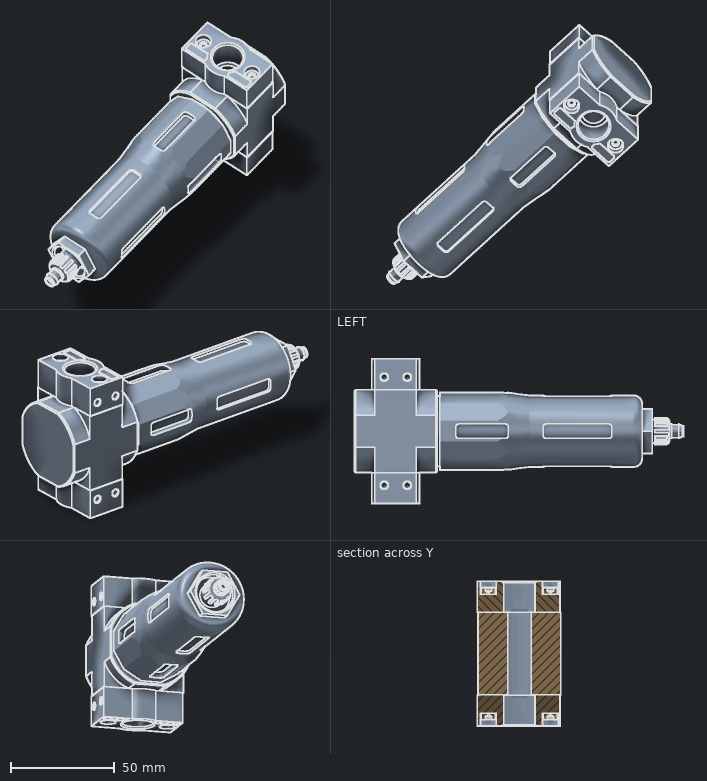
import cadquery as cq
import math

total_length = 159.0

housing_width = 40.0
housing_length = 40.0
drum_diameter = 43.0
drum_chamfer = 0.6
block_length = 20.0
through_port_diameter = 11.1

plate_thickness = 15.0
plate_shift = -0.3
plate_boss_diameter = 23.2
port_diameter = 15.0
port_chamfer = 0.8
screw_spacing = 29.9
screw_seat_diameter = 7.5
screw_head_diameter = 7.0
screw_head_height = 3.2
screw_head_chamfer = 0.3
screw_head_sink = 3.0
socket_diameter = 3.5
side_hole_spacing = 11.1
side_hole_height = 6.0
side_hole_diameter = 4.0
side_hole_depth = 4.0
blind_hole_chamfer = 0.3
drill_point_angle = 118.0

label_left = -19.1
label_top = -4.5
label_bottom = -8.9
label_arc_radius = 9.9
label_corner_radius = 0.8
label_depth = 0.3

neck_radius = 17.0
grip_start = -21.3
grip_radius = 19.4
grip_end = -49.1
facet_count = 12
facet_distance = 18.8
sleeve_start = -64.5
sleeve_radius = 17.3
sleeve_end = -119.0
sleeve_fillet = 4.3
slot_width = 7.0
slot_corner_radius = 1.6
slot_spans = [(-29.0, -54.4), (-71.0, -104.3)]
slot_count = 4

hex_end = -123.9
hex_across_flats = 21.6
recess_radius = 9.2
recess_chamfer = 0.8
recess_depth = 6.4

bowl_radius = 15.9
bowl_end = -114.5

knob_base_radius = 5.7
knob_radius = 6.5
knob_start = -125.0
knob_end = -132.1
knob_rounding = 2.2
ridge_count = 12
ridge_width = 1.3
collar_radius = 3.5
collar_end = -133.1
stem_radius = 3.2
lip_start = -136.5
lip_radius = 3.5
tip_start = -138.2
tip_radius = 2.7
drain_bore_diameter = 3.0
drain_bore_depth = 3.2
drain_mouth_diameter = 4.0
drain_mouth_depth = 1.6

housing_top = housing_length / 2
housing_bottom = -housing_top
plate_inner_z = housing_width / 2
plate_outer_z = plate_inner_z + plate_thickness
tip_end = housing_top - total_length
recess_floor = hex_end + recess_depth


def section_at(y):
    """Workplane across the bowl axis; extruding goes toward -Y."""
    return cq.Workplane("XZ", origin=(0, y, 0))


def cylinder_along_y(diameter, y_start, y_end):
    return section_at(y_start).circle(diameter / 2).extrude(y_start - y_end)


def turned(profile):
    """Revolve a closed radius-height profile about the Y axis."""
    return profile.close().revolve(360, (0, 0), (0, 1))


def blind_hole(diameter, depth):
    """Cutter for a chamfered, drill-pointed hole going down from the origin along -Z."""
    radius = diameter / 2
    inner_radius = radius - blind_hole_chamfer
    point_depth = inner_radius / math.tan(math.radians(drill_point_angle / 2))
    return (
        cq.Workplane("XZ")
        .moveTo(0, 0)
        .lineTo(radius, 0)
        .lineTo(inner_radius, -blind_hole_chamfer)
        .lineTo(inner_radius, -depth)
        .lineTo(0, -depth - point_depth)
        .close()
        .revolve(360, (0, 0), (0, 1))
    )


def make_housing():
    drum = cylinder_along_y(drum_diameter, housing_top, housing_bottom)
    flats = section_at(housing_top).rect(housing_width, housing_width).extrude(housing_length)
    drum = drum.intersect(flats).faces("<Y or >Y").chamfer(drum_chamfer)
    block = cq.Workplane("XY").box(housing_width, block_length, housing_width)
    port = cq.Workplane("XY").circle(through_port_diameter / 2).extrude(housing_width, both=True)
    return drum.union(block).cut(port)


def label_field(side):
    """Cutter for one label field; side -1 is at -X and side 1 at +X."""
    def arc_point(y):
        return -math.sqrt(label_arc_radius**2 - y**2), y

    arc_end_y = label_bottom + (label_top - label_bottom) / 2
    field = (
        cq.Workplane("XY", origin=(0, 0, plate_outer_z - label_depth))
        .moveTo(label_left, label_top)
        .lineTo(*arc_point(label_top))
        .threePointArc(arc_point((label_top + arc_end_y) / 2), arc_point(arc_end_y))
        .lineTo(arc_point(arc_end_y)[0], label_bottom)
        .lineTo(label_left, label_bottom)
        .close()
        .extrude(label_depth)
        .edges("|Z and (<X or <Y)")
        .fillet(label_corner_radius)
    )
    return field if side < 0 else field.mirror("YZ", (plate_shift, 0, 0))


def make_plate():
    """Plate on the +Z side."""
    base = cq.Workplane("XY", origin=(0, 0, plate_inner_z))
    plate = base.center(plate_shift, 0).rect(housing_width, block_length).extrude(plate_thickness)
    boss = base.circle(plate_boss_diameter / 2).extrude(plate_thickness)
    plate = plate.union(boss).faces(">Z").workplane(origin=(0, 0, 0))
    plate = plate.cskHole(port_diameter, port_diameter + 2 * port_chamfer, 90)
    for side in (-1, 1):
        seat_depth = screw_head_sink + screw_head_height
        seat = (
            cq.Workplane("XY", origin=(side * screw_spacing / 2, 0, plate_outer_z - seat_depth))
            .circle(screw_seat_diameter / 2)
            .extrude(seat_depth)
        )
        plate = plate.cut(seat).cut(label_field(side))
    side_face_x = plate_shift - housing_width / 2
    for y in (-side_hole_spacing / 2, side_hole_spacing / 2):
        hole = (
            blind_hole(side_hole_diameter, side_hole_depth)
            .rotate((0, 0, 0), (0, 1, 0), -90)
            .translate((side_face_x, y, plate_inner_z + side_hole_height))
        )
        plate = plate.cut(hole)
    return plate


def make_screw(side):
    """Screw in the +Z plate; side -1 is at -X and side 1 at +X."""
    head = (
        cq.Workplane("XY")
        .circle(screw_head_diameter / 2)
        .extrude(-screw_head_height)
        .faces(">Z")
        .chamfer(screw_head_chamfer)
        .cut(blind_hole(socket_diameter, screw_head_height / 2))
    )
    return head.translate((side * screw_spacing / 2, 0, plate_outer_z - screw_head_sink))


def make_bowl():
    return cylinder_along_y(2 * bowl_radius, housing_bottom, bowl_end)


def slot_cutter(y_start, y_end):
    """Rounded window through the +Z side of the guard."""
    return (
        cq.Workplane("XY", origin=(0, (y_start + y_end) / 2, 0))
        .rect(slot_width, y_start - y_end)
        .extrude(grip_radius)
        .edges("|Z")
        .fillet(slot_corner_radius)
    )


def make_guard(bowl):
    guard = turned(
        cq.Workplane("XY")
        .moveTo(0, housing_bottom)
        .lineTo(neck_radius, housing_bottom)
        .lineTo(neck_radius, grip_start)
        .lineTo(grip_radius, grip_start)
        .lineTo(grip_radius, grip_end)
        .lineTo(sleeve_radius, sleeve_start)
        .lineTo(sleeve_radius, sleeve_end + sleeve_fillet)
        .radiusArc((sleeve_radius - sleeve_fillet, sleeve_end), sleeve_fillet)
        .lineTo(0, sleeve_end)
    )
    facets = (
        section_at(housing_bottom)
        .polygon(facet_count, 2 * facet_distance, circumscribed=True)
        .extrude(housing_bottom - sleeve_end)
    )
    hexagon = (
        section_at(sleeve_end)
        .polygon(6, hex_across_flats, circumscribed=True)
        .extrude(sleeve_end - hex_end)
        .rotate((0, 0, 0), (0, 1, 0), 30)
    )
    recess = turned(
        cq.Workplane("XY")
        .moveTo(0, hex_end)
        .lineTo(recess_radius + recess_chamfer, hex_end)
        .lineTo(recess_radius, hex_end + recess_chamfer)
        .lineTo(recess_radius, recess_floor)
        .lineTo(0, recess_floor)
    )
    guard = guard.intersect(facets).union(hexagon).cut(recess)
    for y_start, y_end in slot_spans:
        slot = slot_cutter(y_start, y_end)
        for index in range(slot_count):
            guard = guard.cut(slot.rotate((0, 0, 0), (0, 1, 0), index * 360 / slot_count))
    return guard.cut(bowl)


def make_drain():
    base = cylinder_along_y(2 * knob_base_radius, recess_floor, knob_start)
    knob = turned(
        cq.Workplane("XY")
        .moveTo(0, knob_start)
        .lineTo(knob_radius, knob_start)
        .lineTo(knob_radius, knob_end + knob_rounding)
        .radiusArc((knob_radius - knob_rounding, knob_end), knob_rounding)
        .lineTo(0, knob_end)
    )
    ridged_section = cylinder_along_y(2 * knob_base_radius, knob_start, knob_end)
    ridge = (
        section_at(knob_start)
        .center(knob_radius / 2, 0)
        .rect(knob_radius, ridge_width)
        .extrude(knob_start - knob_end)
    )
    for index in range(ridge_count):
        ridged_section = ridged_section.union(ridge.rotate((0, 0, 0), (0, 1, 0), index * 360 / ridge_count))
    knob = knob.intersect(ridged_section)
    stem = turned(
        cq.Workplane("XY")
        .moveTo(0, knob_end)
        .lineTo(collar_radius, knob_end)
        .lineTo(collar_radius, collar_end)
        .lineTo(stem_radius, collar_end)
        .lineTo(stem_radius, lip_start)
        .lineTo(lip_radius, lip_start)
        .lineTo(tip_radius, tip_start)
        .lineTo(tip_radius, tip_end)
        .lineTo(0, tip_end)
    )
    drain = base.union(knob).union(stem).faces("<Y").workplane(origin=(0, 0, 0))
    return drain.cboreHole(drain_bore_diameter, drain_mouth_diameter, drain_mouth_depth, drain_bore_depth)


housing = make_housing()
plates = [make_plate()]
screws = [make_screw(side) for side in (-1, 1)]
plates += [plate.mirror("XY") for plate in plates]
screws += [screw.mirror("XY") for screw in screws]
bowl = make_bowl()
guard = make_guard(bowl)
drain = make_drain()

bodies = [housing, *plates, *screws, bowl, guard, drain]
result = cq.Compound.makeCompound([body.val() for body in bodies])